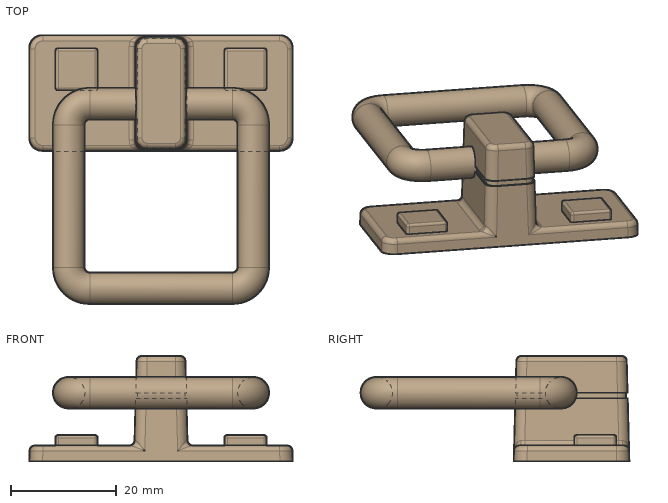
import cadquery as cq


DRAFT = 1.5
PLATE_LENGTH = 50.0
PLATE_DEPTH = 22.0
PLATE_THICKNESS = 3.0
PLATE_CORNER_RADIUS = 2.5
EDGE_FILLET = 1.0

BLOCK_WIDTH = 10.3
BLOCK_HEIGHT = 20.0
BLOCK_CORNER_RADIUS = 2.0

WIRE_DIAMETER = 6.0
RING_SIZE = 41.0
RING_BEND_RADIUS = 4.0
RING_HEIGHT = 13.0
TOTAL_DEPTH = 51.0

GROOVE_WIDTH = 1.0
GROOVE_DEPTH = 0.3

PAD_SIZE = 8.0
PAD_HEIGHT = 2.0
PAD_OFFSET_X = 16.0
PAD_OFFSET_Y = 4.5
PAD_FILLET = 0.5


def drafted_box(length, depth, height, corner_radius):
    """Box on Z = 0 with inward-leaning walls and rounded upright corners."""
    box = cq.Workplane("XY").rect(length, depth).extrude(height, taper=DRAFT)
    return box.edges("not(#Z)").fillet(corner_radius)


def make_plate():
    plate = drafted_box(PLATE_LENGTH, PLATE_DEPTH, PLATE_THICKNESS, PLATE_CORNER_RADIUS)
    return plate.faces(">Z").edges().fillet(EDGE_FILLET)


def make_block():
    block = drafted_box(BLOCK_WIDTH, PLATE_DEPTH, BLOCK_HEIGHT, BLOCK_CORNER_RADIUS)
    return block.faces(">Z").edges().fillet(EDGE_FILLET)


def fillet_block_foot(body):
    """Round the inside corner where the block rises from the flat top of the plate."""
    half_width = BLOCK_WIDTH / 2
    half_depth = PLATE_DEPTH / 2
    margin = 0.05
    foot = cq.selectors.BoxSelector(
        (-half_width, -half_depth, PLATE_THICKNESS - margin),
        (half_width, half_depth, PLATE_THICKNESS + margin),
    )
    return body.edges(foot).fillet(EDGE_FILLET)


def make_groove():
    """Band that encloses the block, less the core left standing inside the groove."""
    core = drafted_box(
        BLOCK_WIDTH - 2 * GROOVE_DEPTH,
        PLATE_DEPTH - 2 * GROOVE_DEPTH,
        BLOCK_HEIGHT,
        BLOCK_CORNER_RADIUS - GROOVE_DEPTH,
    )
    band = (
        cq.Workplane("XY", origin=(0, 0, RING_HEIGHT - GROOVE_WIDTH))
        .rect(BLOCK_WIDTH, PLATE_DEPTH)
        .extrude(GROOVE_WIDTH)
    )
    return band.cut(core)


def make_pad(side):
    """Pad on the +X (side = 1) or -X (side = -1) half of the plate."""
    pad = (
        cq.Workplane("XY", origin=(side * PAD_OFFSET_X, PAD_OFFSET_Y, PLATE_THICKNESS))
        .rect(PAD_SIZE, PAD_SIZE)
        .extrude(PAD_HEIGHT)
    )
    return pad.edges("|Z or >Z").fillet(PAD_FILLET)


def make_ring():
    """Four identical quarters, each a straight bar and the bend at its +X end."""
    half_side = (RING_SIZE - WIRE_DIAMETER) / 2
    half_bar = half_side - RING_BEND_RADIUS
    wire_radius = WIRE_DIAMETER / 2

    bar = (
        cq.Workplane("YZ", origin=(-half_bar, half_side, 0))
        .circle(wire_radius)
        .extrude(2 * half_bar)
    )
    bend = (
        cq.Workplane("YZ", origin=(half_bar, half_side, 0))
        .circle(wire_radius)
        .revolve(90, (-RING_BEND_RADIUS, 0.5), (-RING_BEND_RADIUS, -0.5))
    )
    quarter = bar.union(bend)

    ring = quarter
    for angle in (90, 180, 270):
        ring = ring.union(quarter.rotate((0, 0, 0), (0, 0, 1), angle))

    center_y = PLATE_DEPTH / 2 - TOTAL_DEPTH + RING_SIZE / 2
    return ring.translate((0, center_y, RING_HEIGHT))


body = fillet_block_foot(make_plate().union(make_block()))
body = body.cut(make_groove())
for side in (-1, 1):
    body = body.union(make_pad(side))
result = body.union(make_ring())